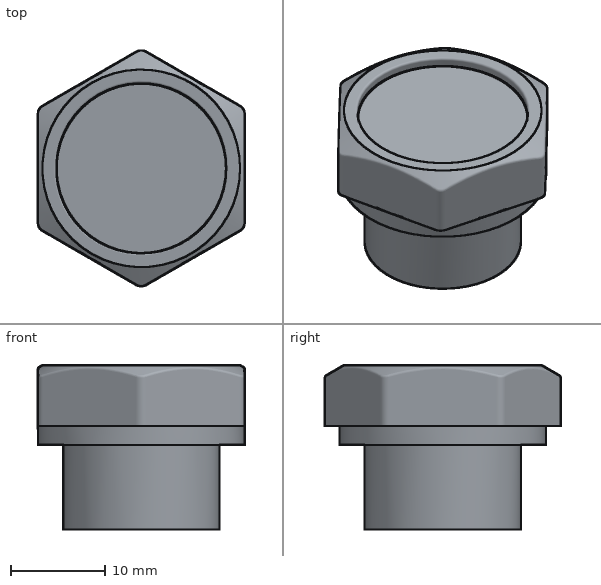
import cadquery as cq
import math

across_flats = 22.0
plug_diameter = 16.65
plug_height = 9.0
flange_height = 1.98
head_height = 6.5
head_base = plug_height + flange_height
head_top = head_base + head_height

corner_radius = 1.03
top_face_diameter = 21.0
chamfer_angle = 30
edge_radius = 0.3

recess_diameter = 18.1
recess_depth = 1.0
rim_radius = 0.25
floor_disc_diameter = 18.0
floor_disc_height = 0.1


def disc(diameter, height, base):
    return cq.Workplane("XY").workplane(offset=base).circle(diameter / 2).extrude(height)


def hexagonal_head():
    """Hexagon with rounded corners, two flats facing +X and -X, and a conical top chamfer."""
    across_corners = across_flats / math.cos(math.radians(30))
    prism = (
        cq.Workplane("XY")
        .workplane(offset=head_base)
        .polygon(6, across_corners)
        .extrude(head_height)
        .rotate((0, 0, 0), (0, 0, 1), 30)
        .edges("|Z")
        .fillet(corner_radius)
    )
    top_radius = top_face_diameter / 2
    envelope_radius = across_corners / 2
    chamfer_drop = (envelope_radius - top_radius) * math.tan(math.radians(chamfer_angle))
    envelope = (
        cq.Workplane("XZ")
        .moveTo(0, head_base)
        .lineTo(envelope_radius, head_base)
        .lineTo(envelope_radius, head_top - chamfer_drop)
        .lineTo(top_radius, head_top)
        .lineTo(0, head_top)
        .close()
        .revolve(360, (0, 0), (0, 1))
    )
    head = prism.intersect(envelope)
    crests = head.faces("%CONE").edges().edges("not(>Z)")
    return head.newObject(crests.vals()).fillet(edge_radius)


def recess_head(head):
    """Sink the recess, round its rim and leave a thin raised disc on its floor."""
    floor = head_top - recess_depth
    sunk_head = head.cut(disc(recess_diameter, recess_depth, floor))
    mouth = sunk_head.faces(">Z").edges(cq.selectors.RadiusNthSelector(0))
    return mouth.fillet(rim_radius).union(disc(floor_disc_diameter, floor_disc_height, floor))


plug = disc(plug_diameter, plug_height, 0)
flange = disc(across_flats, flange_height, plug_height)
result = plug.union(flange).union(recess_head(hexagonal_head()))